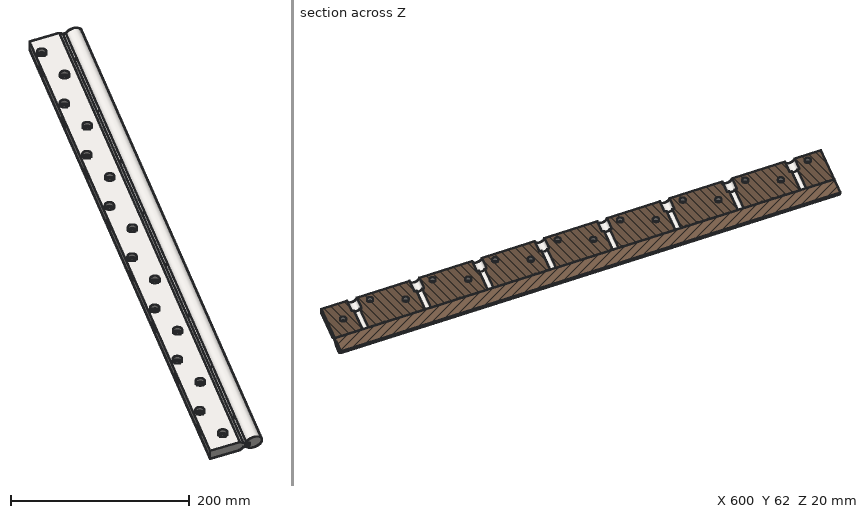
import cadquery as cq
import math

overall_length = 600.0
overall_width = 62.0
shaft_diameter = 20.0
shaft_chamfer = 0.9

boss_diameter = 5.5
boss_height = 0.5

rail_height = 15.5
neck_height = 8.5
flare_width = 4.0
plate_width = 35.5

hole_pitch = 75.0
holes_per_row = 8
front_row_inset = 8.0
back_row_inset = 21.5
mount_hole_diameter = 6.5
mount_bore_diameter = 11.0
mount_bore_depth = 7.0

screw_hole_diameter = 6.5
screw_bore_diameter = 11.5
screw_bore_depth = 15.0

length = overall_length - boss_height
shaft_radius = shaft_diameter / 2
boss_y = boss_diameter / 2 - shaft_radius
front_y = shaft_radius - overall_width
plate_back_y = front_y + plate_width
neck_front_y = plate_back_y + flare_width
rail_top_z = rail_height / 2
neck_top_z = neck_height / 2
seat_edge_y = -math.sqrt(shaft_radius**2 - neck_top_z**2)


def row_positions(first_x, y):
    """Points of one row of holes, running along X."""
    return [(first_x + index * hole_pitch, y) for index in range(holes_per_row)]


def make_shaft():
    """Round rod, chamfered at its -X end, with the boss on its +X end."""
    rod = cq.Workplane("YZ").circle(shaft_radius).extrude(length)
    rod = rod.faces("<X").edges().chamfer(shaft_chamfer)
    boss = cq.Workplane("YZ", origin=(length, boss_y, 0)).circle(boss_diameter / 2).extrude(boss_height)
    return rod.union(boss)


def make_rail_blank():
    """Flat bar that narrows to a neck with a round seat for the shaft."""
    return (
        cq.Workplane("YZ")
        .moveTo(front_y, -rail_top_z)
        .lineTo(plate_back_y, -rail_top_z)
        .lineTo(neck_front_y, -neck_top_z)
        .lineTo(seat_edge_y, -neck_top_z)
        .threePointArc((-shaft_radius, 0), (seat_edge_y, neck_top_z))
        .lineTo(neck_front_y, neck_top_z)
        .lineTo(plate_back_y, rail_top_z)
        .lineTo(front_y, rail_top_z)
        .close()
        .extrude(length)
    )


def drill_mounting_holes(rail):
    """Counterbored through holes in two rows, staggered by half a pitch."""
    front_row = row_positions(hole_pitch / 4, front_y + front_row_inset)
    back_row = row_positions(hole_pitch * 3 / 4, front_y + back_row_inset)
    top_plane = cq.Workplane("XY", origin=(0, 0, rail_top_z))
    hole_centers = rail.copyWorkplane(top_plane).pushPoints(front_row + back_row)
    return hole_centers.cboreHole(mount_hole_diameter, mount_bore_diameter, mount_bore_depth, rail_height)


def drill_screw_holes(rail):
    """Counterbored holes from the front face that open into the shaft seat."""
    front_plane = cq.Workplane("XZ", origin=(0, front_y, 0))
    hole_centers = rail.copyWorkplane(front_plane).pushPoints(row_positions(hole_pitch / 2, 0))
    return hole_centers.cboreHole(screw_hole_diameter, screw_bore_diameter, screw_bore_depth, -front_y)


shaft = make_shaft()
rail = drill_screw_holes(drill_mounting_holes(make_rail_blank()))

result = cq.Compound.makeCompound([shaft.val(), rail.val()])